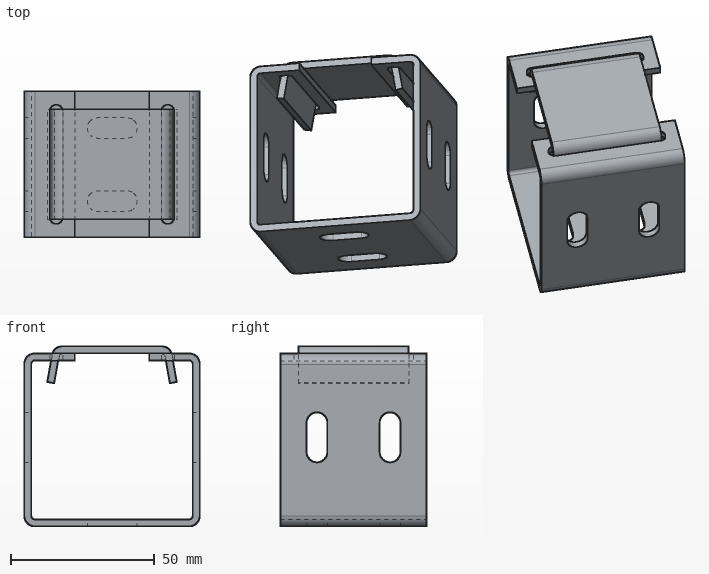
import cadquery as cq
import math

overall_height = 62.75
channel_width = 61.1
channel_depth = 50.8
sheet = 2.5
bend_outer = 3.75
bend_inner = bend_outer - sheet

channel_height = overall_height - sheet
channel_bottom = -overall_height / 2
channel_top = channel_bottom + channel_height
channel_mid_z = channel_bottom + channel_height / 2
lip_gap = 25.8

mount_slot_length = 17.3
mount_slot_width = 7.15
mount_slot_pitch = 25.4
side_slot_height = 31.0

clip_depth = 38.3
clip_flat_width = 34.4
leg_splay = math.radians(10)
leg_length = 9.55

leg_slot_offset = 19.4
leg_slot_width = 4.65
leg_slot_length = 41.4


def make_channel():
    """Bent sheet channel with leg slots and mounting slots."""
    outside = (
        cq.Workplane("XY")
        .box(channel_width, channel_depth, channel_height)
        .edges("|Y")
        .fillet(bend_outer)
    )
    cavity = (
        cq.Workplane("XY")
        .box(channel_width - 2 * sheet, channel_depth, channel_height - 2 * sheet)
        .edges("|Y")
        .fillet(bend_inner)
    )
    opening = cq.Workplane("XY").box(lip_gap, channel_depth, 2 * sheet)
    opening = opening.translate((0, 0, channel_height / 2))
    channel = outside.cut(cavity).cut(opening).translate((0, 0, channel_mid_z))

    leg_slots = (
        cq.Workplane("XY", origin=(0, 0, channel_top - sheet))
        .pushPoints([(-leg_slot_offset, 0), (leg_slot_offset, 0)])
        .slot2D(leg_slot_length, leg_slot_width, 90)
        .extrude(sheet)
    )
    slot_positions = [-mount_slot_pitch / 2, mount_slot_pitch / 2]
    side_slots = (
        cq.Workplane("YZ", origin=(-channel_width / 2, 0, channel_bottom + side_slot_height))
        .pushPoints([(y, 0) for y in slot_positions])
        .slot2D(mount_slot_length, mount_slot_width, 90)
        .extrude(channel_width)
    )
    floor_slots = (
        cq.Workplane("XY", origin=(0, 0, channel_bottom))
        .pushPoints([(0, y) for y in slot_positions])
        .slot2D(mount_slot_length, mount_slot_width)
        .extrude(sheet)
    )
    return channel.cut(leg_slots).cut(side_slots).cut(floor_slots)


def make_clip():
    """Bent sheet clip whose legs pass down through the lip slots."""
    bend_x = clip_flat_width / 2
    bend_z = overall_height / 2 - bend_outer
    bend_end = leg_splay
    bend_middle = (math.pi / 2 + bend_end) / 2

    def bend_point(side, radius, angle):
        x = bend_x + radius * math.cos(angle)
        return (side * x, bend_z + radius * math.sin(angle))

    def leg_end(side, radius):
        x, z = bend_point(side, radius, bend_end)
        return (
            x + side * leg_length * math.sin(leg_splay),
            z - leg_length * math.cos(leg_splay),
        )

    def bend_start(side, radius):
        return (side * bend_x, bend_z + radius)

    profile = (
        cq.Workplane("XZ")
        .moveTo(*bend_start(-1, bend_outer))
        .lineTo(*bend_start(1, bend_outer))
        .threePointArc(bend_point(1, bend_outer, bend_middle), bend_point(1, bend_outer, bend_end))
        .lineTo(*leg_end(1, bend_outer))
        .lineTo(*leg_end(1, bend_inner))
        .lineTo(*bend_point(1, bend_inner, bend_end))
        .threePointArc(bend_point(1, bend_inner, bend_middle), bend_start(1, bend_inner))
        .lineTo(*bend_start(-1, bend_inner))
        .threePointArc(bend_point(-1, bend_inner, bend_middle), bend_point(-1, bend_inner, bend_end))
        .lineTo(*leg_end(-1, bend_inner))
        .lineTo(*leg_end(-1, bend_outer))
        .lineTo(*bend_point(-1, bend_outer, bend_end))
        .threePointArc(bend_point(-1, bend_outer, bend_middle), bend_start(-1, bend_outer))
        .close()
    )
    return profile.extrude(clip_depth / 2, both=True)


channel = make_channel()
clip = make_clip()
result = cq.Compound.makeCompound([*channel.solids().vals(), *clip.solids().vals()])